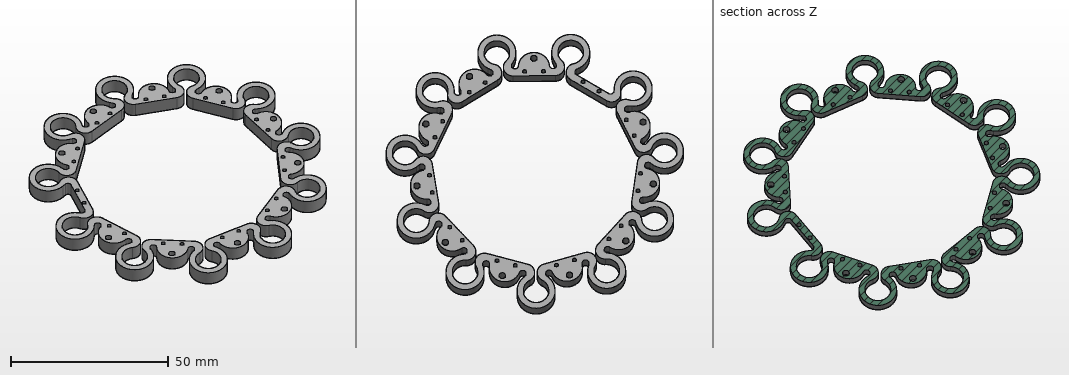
import cadquery as cq
import math

LINK_COUNT = 11
PITCH_ANGLE = 360 / LINK_COUNT
HALF_PITCH = PITCH_ANGLE / 2
PAD_LINKS = range(1, LINK_COUNT)
THICKNESS = 5.0
JOIN_TOLERANCE = 1e-6

RING_PITCH_RADIUS = 41.7
RING_INNER_RADIUS = 4.07
RING_WALL = 2.0
RING_OUTER_RADIUS = RING_INNER_RADIUS + RING_WALL

BAR_INNER_V = 32.0
BAR_HEIGHT = 2.45
BAR_OUTER_V = BAR_INNER_V + BAR_HEIGHT
CORNER_RADIUS = 3.0
SLOT_RADIUS = 1.08
PAD_RADIUS = 5.0
PAD_CENTER = (0, 35.0)

SMALL_HOLE_DIAMETER = 1.2
SMALL_HOLE_HALF_SPACING = 3.0
SMALL_HOLE_V = 33.5
PAD_HOLE_DIAMETER = 2.0
PAD_HOLE_V = 38.0

RING_CENTER = (
    RING_PITCH_RADIUS * math.sin(math.radians(HALF_PITCH)),
    RING_PITCH_RADIUS * math.cos(math.radians(HALF_PITCH)),
)

RING_AXIS_ANGLE = 90 - HALF_PITCH

CORNER_V = BAR_INNER_V + CORNER_RADIUS
CORNER_TO_RING = CORNER_RADIUS + RING_INNER_RADIUS
CORNER_CENTER = (
    RING_CENTER[0] - math.sqrt(CORNER_TO_RING**2 - (RING_CENTER[1] - CORNER_V) ** 2),
    CORNER_V,
)

SLOT_V = BAR_OUTER_V + SLOT_RADIUS
SLOT_CENTER = (
    math.sqrt((PAD_RADIUS + SLOT_RADIUS) ** 2 - (SLOT_V - PAD_CENTER[1]) ** 2),
    SLOT_V,
)


def direction(start, end):
    """Angle in degrees of the line from start to end."""
    return math.degrees(math.atan2(end[1] - start[1], end[0] - start[0]))


def on_circle(center, radius, angle):
    """Point on a circle at an angle in degrees."""
    a = math.radians(angle)
    return (center[0] + radius * math.cos(a), center[1] + radius * math.sin(a))


def arc(center, radius, start_angle, end_angle):
    """Arc as its start, middle and end points."""
    middle_angle = (start_angle + end_angle) / 2
    return [on_circle(center, radius, a) for a in (start_angle, middle_angle, end_angle)]


def mirrored(arcs):
    """The same arcs mirrored across the link's middle line, in travelling order."""
    return [[(-u, v) for u, v in reversed(points)] for points in reversed(arcs)]


def turned(point, angle):
    """Point turned about the Z axis, angle in degrees."""
    a = math.radians(angle)
    u, v = point
    return (u * math.cos(a) - v * math.sin(a), u * math.sin(a) + v * math.cos(a))


def inner_half_arcs():
    """Arcs of the inner outline from a bar's flat side to the far end of the ring at its right."""
    touch_angle = direction(CORNER_CENTER, RING_CENTER)
    return [
        arc(CORNER_CENTER, CORNER_RADIUS, -90, touch_angle),
        arc(RING_CENTER, RING_INNER_RADIUS, 180 + touch_angle, RING_AXIS_ANGLE),
    ]


def outer_half_arcs(has_pad):
    """Arcs of the outer outline from a bar or pad to the far end of the ring at its right."""
    center_distance = math.dist(SLOT_CENTER, RING_CENTER)
    wall_turn = math.degrees(math.acos((SLOT_RADIUS + RING_OUTER_RADIUS) / center_distance))
    wall_angle = direction(SLOT_CENTER, RING_CENTER) - wall_turn
    pad_touch_angle = direction(PAD_CENTER, SLOT_CENTER)
    slot_start_angle = pad_touch_angle - 180 if has_pad else -90
    arcs = [
        arc(SLOT_CENTER, SLOT_RADIUS, slot_start_angle, wall_angle),
        arc(RING_CENTER, RING_OUTER_RADIUS, 180 + wall_angle, RING_AXIS_ANGLE),
    ]
    if has_pad:
        arcs.insert(0, arc(PAD_CENTER, PAD_RADIUS, 90, pad_touch_angle))
    return arcs


def closed_prism(half_arcs_by_link):
    """Solid inside a closed outline, given each link's arcs from its middle to its right ring."""
    arcs = []
    for index, half_arcs in enumerate(half_arcs_by_link):
        next_index = (index + 1) % LINK_COUNT
        for angle, group in (
            (link_angle(index), half_arcs),
            (link_angle(next_index), mirrored(half_arcs_by_link[next_index])),
        ):
            arcs += [[turned(point, angle) for point in points] for points in group]

    outline = cq.Workplane("XY").moveTo(*arcs[0][0])
    position = arcs[0][0]
    for start, middle, end in arcs:
        if math.dist(position, start) > JOIN_TOLERANCE:
            outline = outline.lineTo(*start)
        outline = outline.threePointArc(middle, end)
        position = end
    return outline.close().extrude(THICKNESS)


def link_angle(index):
    """Angle in degrees that turns the link frame onto a link; link 0 lies at -Y."""
    return 180 - index * PITCH_ANGLE


def through_holes(points, diameter):
    """Cutters for vertical holes through the full thickness."""
    return cq.Workplane("XY").pushPoints(points).circle(diameter / 2).extrude(THICKNESS)


def band():
    """Continuous chain of bars, pads and rings."""
    outer = closed_prism([outer_half_arcs(index in PAD_LINKS) for index in range(LINK_COUNT)])
    inner = closed_prism([inner_half_arcs()] * LINK_COUNT)
    return outer.cut(inner)


def with_holes(body):
    """Two small holes in every link and a larger one in every pad."""
    small_points = [
        turned((u, SMALL_HOLE_V), link_angle(index))
        for index in range(LINK_COUNT)
        for u in (-SMALL_HOLE_HALF_SPACING, SMALL_HOLE_HALF_SPACING)
    ]
    pad_points = [turned((0, PAD_HOLE_V), link_angle(index)) for index in PAD_LINKS]
    body = body.cut(through_holes(small_points, SMALL_HOLE_DIAMETER))
    return body.cut(through_holes(pad_points, PAD_HOLE_DIAMETER))


result = with_holes(band())